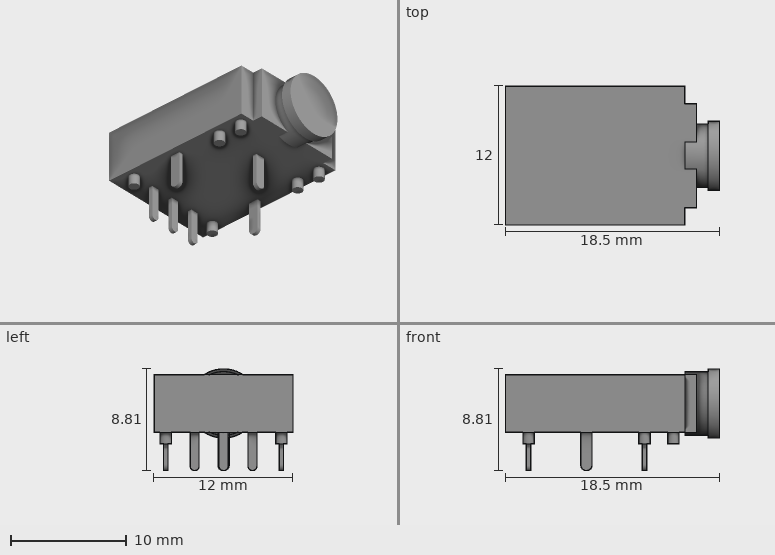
import cadquery as cq

total_length = 18.5
housing_width = 12.0
housing_height = 5

flange_length = 1.0
flange_radius = 3.0
barrel_length = 2.0
barrel_radius = 2.75
nose_height = housing_height / 2

block_length = total_length - flange_length - barrel_length
step_length = 1.0
step_width = 9.0

peg_radius = 0.5
peg_length = 1.0

pin_length = 3.31
pin_thickness = 0.4
rear_pin_width = 0.8
wide_pin_width = 1.0

side_offset = 5
rear_row_x = 2.0
side_pin_x = 7.0
front_row_x = 12.0
front_peg_x = 14.5
rear_pin_pitch = 2.5


def make_block():
    """Main block with the step centred on its front face."""
    centred = (False, True, False)
    block = cq.Workplane("XY").box(block_length, housing_width, housing_height, centered=centred)
    step = (
        cq.Workplane("XY")
        .box(step_length, step_width, housing_height, centered=centred)
        .translate((block_length, 0, 0))
    )
    return block.union(step)


def make_nose():
    """Barrel starting at the block's front face, ending in a flange."""
    return (
        cq.Workplane("YZ", origin=(block_length, 0, nose_height))
        .circle(barrel_radius)
        .extrude(barrel_length)
        .faces(">X")
        .workplane()
        .circle(flange_radius)
        .extrude(flange_length)
    )


def make_pegs():
    """Two rows of round standoffs under the block."""
    positions = [
        (x, side * side_offset)
        for x in (rear_row_x, front_row_x, front_peg_x)
        for side in (-1, 1)
    ]
    return cq.Workplane("XY").pushPoints(positions).circle(peg_radius).extrude(-peg_length)


def make_pin(plane, width, x, y):
    """Flat terminal with a full-round tip, its flat faces parallel to the given plane."""
    half_width = width / 2
    tip_start = half_width - pin_length
    return (
        cq.Workplane(plane, origin=(x, y, 0))
        .moveTo(-half_width, 0)
        .lineTo(-half_width, tip_start)
        .threePointArc((0, -pin_length), (half_width, tip_start))
        .lineTo(half_width, 0)
        .close()
        .extrude(pin_thickness / 2, both=True)
    )


def make_housing():
    """Block, nose, pegs and the terminals across the mid plane as one solid."""
    body = make_block().union(make_nose()).union(make_pegs())
    for row in (-1, 0, 1):
        body = body.union(make_pin("YZ", rear_pin_width, rear_row_x, row * rear_pin_pitch))
    return body.union(make_pin("YZ", wide_pin_width, front_row_x, 0))


def make_side_pins():
    """Separate terminals butted against the underside, one near each long side."""
    return [make_pin("XZ", wide_pin_width, side_pin_x, side * side_offset) for side in (-1, 1)]


housing = make_housing()
side_pins = make_side_pins()

result = cq.Compound.makeCompound([housing.val(), *[pin.val() for pin in side_pins]])